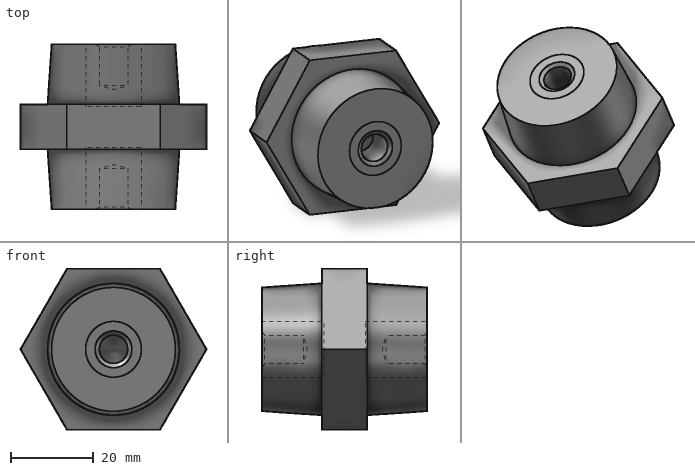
import cadquery as cq
import math

LENGTH = 40.0
HEX_ACROSS_CORNERS = 45.05
HEX_WIDTH = 10.9
END_RADIUS = 15.0
COLLAR_RADIUS = 16.0

INSERT_RADIUS = 6.75
INSERT_LENGTH = 15.0
HOLE_MOUTH_RADIUS = 4.45
HOLE_RADIUS = 3.4
HOLE_DEPTH = 10.0
DRILL_POINT_ANGLE = 150.0
COUNTERSINK_ANGLE = 120.0

HALF_LENGTH = LENGTH / 2
HALF_HEX = HEX_WIDTH / 2
COUNTERSINK_DEPTH = (HOLE_MOUTH_RADIUS - HOLE_RADIUS) / math.tan(math.radians(COUNTERSINK_ANGLE / 2))
DRILL_POINT_DEPTH = HOLE_RADIUS / math.tan(math.radians(DRILL_POINT_ANGLE / 2))

AXIS_START = (0, 0, 0)
AXIS_END = (1, 0, 0)
END_DIRECTIONS = (-1, 1)


def make_collar():
    """Hexagonal prism with two corners on the X axis."""
    return cq.Workplane("XZ").polygon(6, HEX_ACROSS_CORNERS).extrude(HALF_HEX, both=True)


def make_tapered_core():
    """Turned core that tapers from the collar to both end faces."""
    return (
        cq.Workplane("YZ")
        .moveTo(-HALF_LENGTH, 0)
        .lineTo(-HALF_LENGTH, END_RADIUS)
        .lineTo(-HALF_HEX, COLLAR_RADIUS)
        .lineTo(HALF_HEX, COLLAR_RADIUS)
        .lineTo(HALF_LENGTH, END_RADIUS)
        .lineTo(HALF_LENGTH, 0)
        .close()
        .revolve(360, AXIS_START, AXIS_END)
    )


def make_insert_blank(direction):
    """Solid cylinder flush with the end face on the given side of the Y axis."""
    return (
        cq.Workplane("XZ", origin=(0, direction * HALF_LENGTH, 0))
        .circle(INSERT_RADIUS)
        .extrude(direction * INSERT_LENGTH)
    )


def make_insert_hole(direction):
    """Countersunk blind hole with a conical drill point."""
    mouth = direction * HALF_LENGTH
    countersink_end = direction * (HALF_LENGTH - COUNTERSINK_DEPTH)
    hole_end = direction * (HALF_LENGTH - HOLE_DEPTH)
    drill_tip = direction * (HALF_LENGTH - HOLE_DEPTH - DRILL_POINT_DEPTH)
    return (
        cq.Workplane("YZ")
        .moveTo(mouth, 0)
        .lineTo(mouth, HOLE_MOUTH_RADIUS)
        .lineTo(countersink_end, HOLE_RADIUS)
        .lineTo(hole_end, HOLE_RADIUS)
        .lineTo(drill_tip, 0)
        .close()
        .revolve(360, AXIS_START, AXIS_END)
    )


def make_insert(direction):
    return make_insert_blank(direction).cut(make_insert_hole(direction))


def make_insulator():
    """Collar and tapered core in one piece, with a pocket for each insert."""
    insulator = make_collar().union(make_tapered_core())
    for direction in END_DIRECTIONS:
        insulator = insulator.cut(make_insert_blank(direction))
    return insulator


insulator = make_insulator()
inserts = [make_insert(direction).solids().val() for direction in END_DIRECTIONS]

result = cq.Compound.makeCompound([insulator.solids().val(), *inserts])